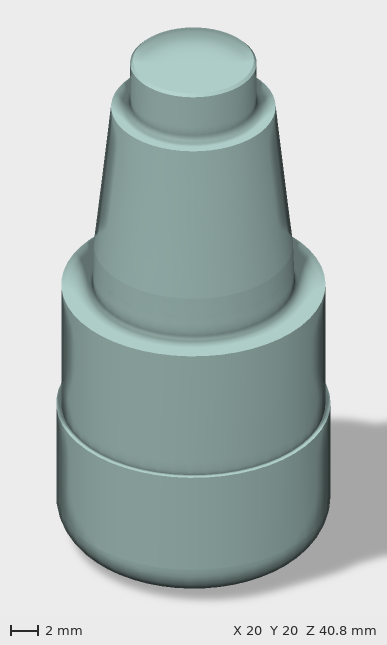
import cadquery as cq

total_height = 40.8
cap_height = 11.0
shoulder_z = 21.35
taper_start_z = 24.8
pin_base_z = 36.8

cap_radius = 10.0
barrel_radius = 9.63
neck_base_radius = 7.4
taper_base_radius = 7.25
taper_top_radius = 6.0
pin_radius = 4.6

cap_fillet = 3.0
neck_fillet = 0.33
pin_fillet = 0.5
pin_chamfer = 0.2

match_tolerance = 0.005


def make_cap():
    """Round cap with a rounded lower rim."""
    return cq.Workplane("XY").circle(cap_radius).extrude(cap_height).faces("<Z").edges().fillet(cap_fillet)


def fillet_foot(body, foot_radius, foot_z, fillet_radius):
    """Fillet the inner corner where a round section rises from a flat shoulder."""
    foot_edges = [
        edge
        for edge in body.edges("%CIRCLE").vals()
        if abs(edge.radius() - foot_radius) < match_tolerance
        and abs(edge.Center().z - foot_z) < match_tolerance
    ]
    return body.newObject(foot_edges).fillet(fillet_radius)


def make_plunger():
    """Barrel, tapered neck and end pin, turned as one piece and resting on the cap."""
    profile = (
        cq.Workplane("XZ")
        .moveTo(0, cap_height)
        .lineTo(barrel_radius, cap_height)
        .lineTo(barrel_radius, shoulder_z)
        .lineTo(neck_base_radius, shoulder_z)
        .lineTo(taper_base_radius, taper_start_z)
        .lineTo(taper_top_radius, pin_base_z)
        .lineTo(pin_radius, pin_base_z)
        .lineTo(pin_radius, total_height)
        .lineTo(0, total_height)
        .close()
    )
    body = profile.revolve(360, (0, 0, 0), (0, 1, 0))

    body = fillet_foot(body, neck_base_radius, shoulder_z, neck_fillet)
    body = fillet_foot(body, pin_radius, pin_base_z, pin_fillet)
    return body.faces(">Z").edges().chamfer(pin_chamfer)


cap = make_cap()
plunger = make_plunger()

result = cq.Compound.makeCompound([cap.val(), plunger.val()])